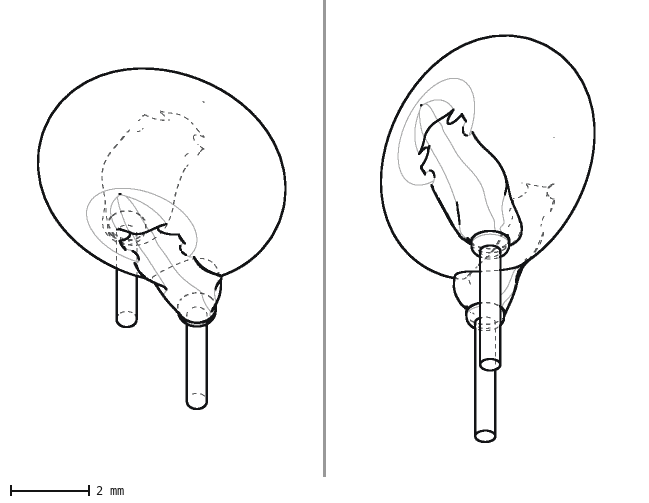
import cadquery as cq
import math

disc_radius = 3.22
disc_thickness = 3.5
rim_radius = disc_thickness / 2
flat_radius = disc_radius - rim_radius

overall_height = 10.75
leg_x = 1.25
leg_y = 1.02
leg_radius = 0.26
leg_end_z = disc_radius - overall_height

collar_radius = 0.49
collar_top_z = -3.72
collar_height = 0.29
collar_step = 0.01
collar_round = 0.19

overall_depth = 4.0
ridge_crest = overall_depth / 2
ridge_height = ridge_crest - disc_thickness / 2
ridge_half_width = 0.89
ridge_tilt = 27.6
ridge_straight = 1.24
ridge_tip_length = 1.29
ridge_root = 1.08
crown_sharpness = 1.2
crown_share = 0.32
collar_crown_share = 0.9
edge_steps = 3

embed = 0.01
bend_lead = 0.17
lead_lift = 0.027
neck_lift = 0.03


def disc_half_depth(x, z):
    """Half thickness of the disc at x, z, never less than the leg offset."""
    beyond_flat = max(math.hypot(x, z) - flat_radius, 0)
    if beyond_flat >= rim_radius:
        return leg_y
    return max(math.sqrt(rim_radius**2 - beyond_flat**2), leg_y)


def ridge_section(x, z, tilt, inner_width, outer_width, crest, root, roundness=0.0, lift=-embed):
    """Closed section across the ridge, centred on x, z and square to its tilted run.

    Depths are measured from the disc mid-plane. Roundness 0 is a bell with
    concave flanks and 1 is a half circle.
    """
    across_x = math.cos(math.radians(tilt))
    across_z = math.sin(math.radians(tilt))

    def place(across, depth):
        return cq.Vector(x + across * across_x, -depth, z + across * across_z)

    def base_depth(across):
        return disc_half_depth(x + across * across_x, z + across * across_z) + lift * (1 - roundness)

    inner_base = base_depth(-inner_width)
    outer_base = base_depth(outer_width)

    def surface_point(angle):
        position = math.sin(angle)
        width = outer_width if position > 0 else inner_width
        base = inner_base + (outer_base - inner_base) * (position + 1) / 2
        bell = ((1 + math.cos(math.pi * position)) / 2) ** crown_sharpness
        rise = (1 - roundness) * bell + roundness * math.cos(angle)
        return place(width * position, base + (crest - base) * rise)

    def surface_edge(first_angle, last_angle):
        step_angle = (last_angle - first_angle) / edge_steps
        return cq.Edge.makeSpline(
            [surface_point(first_angle + step * step_angle) for step in range(edge_steps + 1)]
        )

    quarter = math.pi / 2
    crown_angle = math.asin(crown_share + (collar_crown_share - crown_share) * roundness)
    inner_flank = surface_edge(-quarter, -crown_angle)
    crown = surface_edge(-crown_angle, crown_angle)
    outer_flank = surface_edge(crown_angle, quarter)
    middle = (outer_width - inner_width) / 2
    underside = cq.Edge.makeThreePointArc(
        surface_point(quarter), place(middle, root), surface_point(-quarter)
    )
    return cq.Wire.assembleEdges([inner_flank, crown, outer_flank, underside])


def straight_section(distance, width, height, lift=-embed):
    """Section at a distance down the straight run, measured from the disc centre."""
    x = distance * math.sin(math.radians(ridge_tilt))
    z = -distance * math.cos(math.radians(ridge_tilt))
    crest = disc_thickness / 2 + height
    return ridge_section(x, z, ridge_tilt, width, width, crest, ridge_root, lift=lift)


def tip_section(fraction):
    """Section of the tip, which is elliptical in outline and sinks into the face."""
    width = ridge_half_width * math.sqrt(1 - fraction**2)
    height = ridge_height * (1 + math.cos(math.pi * fraction)) / 2
    return straight_section(-fraction * ridge_tip_length, width, height)


def make_disc():
    profile = (
        cq.Workplane("XY")
        .moveTo(0, -rim_radius)
        .lineTo(flat_radius, -rim_radius)
        .threePointArc((disc_radius, 0), (flat_radius, rim_radius))
        .lineTo(0, rim_radius)
        .close()
    )
    return profile.revolve(360, (0, 0, 0), (0, 1, 0))


def make_ridge():
    tip = [tip_section(fraction) for fraction in (0, 0.3, 0.6, 0.85, 0.98)]
    straight = [
        straight_section(share * ridge_straight, ridge_half_width, ridge_height)
        for share in (0, 0.33, 0.66, 1)
    ]
    neck = [
        straight_section(ridge_straight + bend_lead, ridge_half_width, ridge_height, lead_lift),
        ridge_section(0.84, -1.67, 25, 0.94, 0.92, 1.96, 0.91, 0.03, neck_lift),
        ridge_section(1.03, -2.15, 19, 1.02, 0.97, 1.91, 0.65, 0.15, neck_lift),
        ridge_section(1.14, -2.47, 12, 1.1, 0.77, 1.85, 0.43, 0.3, neck_lift),
        ridge_section(1.2, -2.8, 6, 1.13, 0.55, 1.78, 0.05, 0.5, neck_lift),
        ridge_section(leg_x, -3.17, 0, 0.97, collar_radius, 1.68, 0, 0.8, neck_lift),
        ridge_section(leg_x, -3.44, 0, 0.67, collar_radius, 1.6, 0.34, 1),
        ridge_section(
            leg_x, collar_top_z, 0, collar_radius, collar_radius,
            leg_y + collar_radius, leg_y - collar_radius, 1,
        ),
    ]
    tip_solid = cq.Workplane(cq.Solid.makeLoft(tip))
    return tip_solid.union(cq.Workplane(cq.Solid.makeLoft(straight + neck)))


def make_leg():
    leg_base = cq.Workplane("XY", origin=(leg_x, -leg_y, collar_top_z))
    collar = leg_base.circle(collar_radius - collar_step).extrude(-collar_height)
    collar = collar.faces("<Z").edges().fillet(collar_round)
    wire = leg_base.circle(leg_radius).extrude(leg_end_z - collar_top_z)
    return collar.union(wire)


terminal = make_ridge().union(make_leg())
opposite_terminal = terminal.rotate((0, 0, 0), (0, 0, 1), 180)
result = make_disc().union(terminal).union(opposite_terminal)